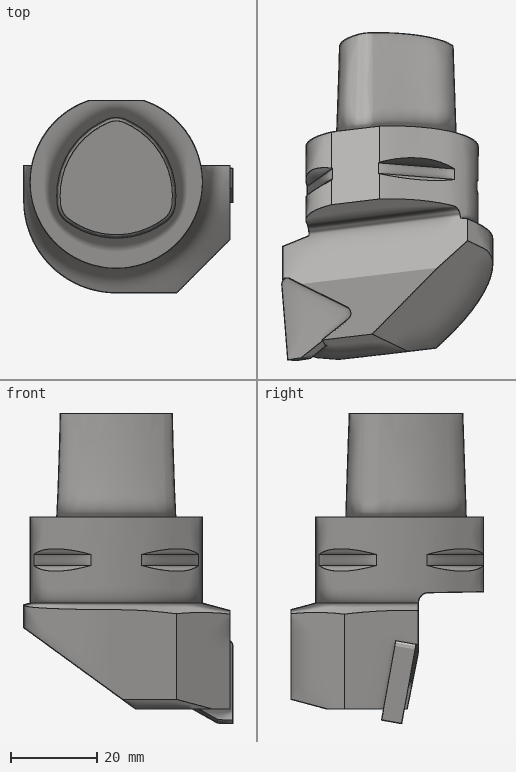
import cadquery as cq
import math


SHANK_LENGTH = 24.0
LOBE_REACH = 15.0
FLANK_REACH = 13.0
LOBE_RADIUS = 5.5
SHANK_SHRINK = 0.8

FLANGE_RADIUS = 20.0
FLANGE_HEIGHT = 20.0
FLANGE_FLAT_Y = 19.0
SLOT_Z = -10.0
SLOT_FLOOR_WIDTH = 2.5
SLOT_FLOOR_REACH = 17.65
SLOT_WALL_ANGLE = 30.0
SLOT_FIRST_ANGLE = 45.0
SLOT_COUNT = 4

HEAD_RADIUS = 21.5
HEAD_ARC_Y = -4.2
HEAD_RIGHT_X = 26.4
HEAD_CORNER_CUT = 12.4
HEAD_REAR_Y = 3.9
HEAD_BOTTOM_Z = -44.6
HEAD_FRONT_Y = HEAD_ARC_Y - HEAD_RADIUS
SHOULDER_ANGLE = 15.0
UNDERSIDE_START_Z = -25.7
UNDERSIDE_ANGLE = 36.0
FRONT_BEVEL_START_Y = -17.3
FRONT_BEVEL_ANGLE = 15.0

REAR_CEILING_Z = -17.4
REAR_CEILING_FALL_ANGLE = 1.0
REAR_FILLET = 2.3
REAR_SLOPE_START_Z = -31.4
REAR_SLOPE_ANGLE = 11.2

TIP_X = 27.06
TIP_Z = -48.0
INSERT_CIRCLE = 12.7
INSERT_THICKNESS = 4.76
INSERT_NOSE_RADIUS = 1.5
INSERT_TIP_FLAT = 3.55
INSERT_TIP_RELIEF = 2.0
INSERT_TILT = 10.2
POCKET_OPENING = 6.0

CLEARANCE = 10.0


def degree_tan(angle):
    return math.tan(math.radians(angle))


def polar(radius, angle):
    turn = math.radians(angle)
    return (radius * math.cos(turn), radius * math.sin(turn))


def lobed_outline(plane, inset):
    """Three lobe arcs joined tangentially by three flank arcs."""
    lobe_radius = LOBE_RADIUS - inset
    lobe_centre = LOBE_REACH - LOBE_RADIUS
    inner = FLANK_REACH - LOBE_RADIUS
    flank_centre = (lobe_centre**2 - inner**2) / (2 * inner - lobe_centre)
    joint_angle = math.atan2(
        lobe_centre * math.sin(math.radians(60)),
        lobe_centre * math.cos(math.radians(60)) + flank_centre,
    )
    half_lobe = 60 - math.degrees(joint_angle)

    def joint(lobe_angle, side):
        centre = polar(lobe_centre, lobe_angle)
        offset = polar(lobe_radius, lobe_angle + side * half_lobe)
        return (centre[0] + offset[0], centre[1] + offset[1])

    outline = cq.Workplane("XY", origin=(0, 0, plane)).moveTo(*joint(90, -1))
    for lobe_angle in (90, 210, 330):
        outline = outline.threePointArc(polar(LOBE_REACH - inset, lobe_angle), joint(lobe_angle, 1))
        outline = outline.threePointArc(
            polar(FLANK_REACH - inset, lobe_angle + 60), joint(lobe_angle + 120, -1)
        )
    return outline.wire().val()


def make_shank():
    base = lobed_outline(0, 0)
    end = lobed_outline(SHANK_LENGTH, SHANK_SHRINK)
    return cq.Workplane(cq.Solid.makeLoft([base, end], True))


def make_gripper_slot(angle):
    """Straight slot across the flange with a flat floor and flaring walls."""
    depth = FLANGE_RADIUS - SLOT_FLOOR_REACH + CLEARANCE
    floor_half = SLOT_FLOOR_WIDTH / 2
    mouth_half = floor_half + depth * degree_tan(SLOT_WALL_ANGLE)
    mouth_reach = SLOT_FLOOR_REACH + depth
    return (
        cq.Workplane("XZ")
        .polyline([
            (SLOT_FLOOR_REACH, SLOT_Z - floor_half),
            (mouth_reach, SLOT_Z - mouth_half),
            (mouth_reach, SLOT_Z + mouth_half),
            (SLOT_FLOOR_REACH, SLOT_Z + floor_half),
        ])
        .close()
        .extrude(FLANGE_RADIUS, both=True)
        .rotate((0, 0, 0), (0, 0, 1), angle)
    )


def make_flange():
    flange = cq.Workplane("XY").circle(FLANGE_RADIUS).extrude(-FLANGE_HEIGHT)
    flat = (
        cq.Workplane("XY")
        .box(2 * FLANGE_RADIUS, CLEARANCE, 2 * FLANGE_HEIGHT, centered=(True, False, True))
        .translate((0, FLANGE_FLAT_Y, -FLANGE_HEIGHT))
    )
    flange = flange.cut(flat)
    for index in range(SLOT_COUNT):
        flange = flange.cut(make_gripper_slot(SLOT_FIRST_ANGLE + index * 360 / SLOT_COUNT))
    return flange


def make_head():
    arc_middle = polar(HEAD_RADIUS, 225)
    blank = (
        cq.Workplane("XY", origin=(0, 0, HEAD_BOTTOM_Z))
        .moveTo(-HEAD_RADIUS, HEAD_REAR_Y)
        .lineTo(-HEAD_RADIUS, HEAD_ARC_Y)
        .threePointArc((arc_middle[0], arc_middle[1] + HEAD_ARC_Y), (0, HEAD_FRONT_Y))
        .lineTo(HEAD_RIGHT_X - HEAD_CORNER_CUT, HEAD_FRONT_Y)
        .lineTo(HEAD_RIGHT_X, HEAD_FRONT_Y + HEAD_CORNER_CUT)
        .lineTo(HEAD_RIGHT_X, HEAD_REAR_Y)
        .close()
        .extrude(-FLANGE_HEIGHT - HEAD_BOTTOM_Z)
    )
    envelope_radius = FLANGE_RADIUS + 2 * CLEARANCE
    envelope_drop = 2 * CLEARANCE * degree_tan(SHOULDER_ANGLE)
    envelope = (
        cq.Workplane("XZ")
        .polyline([
            (0, -FLANGE_HEIGHT),
            (FLANGE_RADIUS, -FLANGE_HEIGHT),
            (envelope_radius, -FLANGE_HEIGHT - envelope_drop),
            (envelope_radius, HEAD_BOTTOM_Z),
            (0, HEAD_BOTTOM_Z),
        ])
        .close()
        .revolve(360, (0, 0, 0), (0, 1, 0))
    )
    underside_drop = UNDERSIDE_START_Z - HEAD_BOTTOM_Z
    underside_cut = (
        cq.Workplane("XZ")
        .polyline([
            (-HEAD_RADIUS, UNDERSIDE_START_Z),
            (-HEAD_RADIUS, HEAD_BOTTOM_Z),
            (-HEAD_RADIUS + underside_drop / degree_tan(UNDERSIDE_ANGLE), HEAD_BOTTOM_Z),
        ])
        .close()
        .extrude(2 * FLANGE_RADIUS, both=True)
    )
    bevel_width = FRONT_BEVEL_START_Y - HEAD_FRONT_Y
    front_bevel = (
        cq.Workplane("YZ")
        .polyline([
            (FRONT_BEVEL_START_Y, HEAD_BOTTOM_Z),
            (HEAD_FRONT_Y, HEAD_BOTTOM_Z),
            (HEAD_FRONT_Y, HEAD_BOTTOM_Z + bevel_width * degree_tan(FRONT_BEVEL_ANGLE)),
        ])
        .close()
        .extrude(2 * FLANGE_RADIUS, both=True)
    )
    return blank.intersect(envelope).cut(underside_cut).cut(front_bevel)


def make_rear_space():
    """Clears the +Y side: a ceiling under the flange, an upright wall and a sloping wall."""
    outer_y = FLANGE_RADIUS + CLEARANCE
    floor_z = HEAD_BOTTOM_Z - CLEARANCE
    corner_z = REAR_CEILING_Z - (FLANGE_FLAT_Y - HEAD_REAR_Y) * degree_tan(REAR_CEILING_FALL_ANGLE)
    outer_z = corner_z + (outer_y - HEAD_REAR_Y) * degree_tan(REAR_CEILING_FALL_ANGLE)
    slope_end_y = HEAD_REAR_Y - (REAR_SLOPE_START_Z - floor_z) * degree_tan(REAR_SLOPE_ANGLE)
    return (
        cq.Workplane("YZ")
        .polyline([
            (outer_y, outer_z),
            (HEAD_REAR_Y, corner_z),
            (HEAD_REAR_Y, REAR_SLOPE_START_Z),
            (slope_end_y, floor_z),
            (outer_y, floor_z),
        ])
        .close()
        .extrude(2 * FLANGE_RADIUS, both=True)
        .edges("|X")
        .edges(cq.selectors.NearestToPointSelector((0, HEAD_REAR_Y, corner_z)))
        .fillet(REAR_FILLET)
    )


def insert_prism(rise):
    """Insert outline from its seat up to `rise` past the rake face, in its tilted place."""
    side = INSERT_CIRCLE * math.sqrt(3)
    flat_rise = INSERT_TIP_FLAT * degree_tan(INSERT_TIP_RELIEF)
    sharp_z = flat_rise - INSERT_TIP_FLAT * degree_tan(30)
    upper_corner = (0, sharp_z + side)
    left_corner = (-side * math.cos(math.radians(30)), sharp_z + side / 2)
    triangle = (
        cq.Workplane("XZ", origin=(0, rise, 0))
        .polyline([(0, 0), upper_corner, left_corner, (-INSERT_TIP_FLAT, flat_rise)])
        .close()
        .extrude(INSERT_THICKNESS + rise)
    )
    for corner_x, corner_z in (upper_corner, left_corner):
        corner_edge = cq.selectors.NearestToPointSelector((corner_x, 0, corner_z))
        triangle = triangle.edges("|Y").edges(corner_edge).fillet(INSERT_NOSE_RADIUS)
    return triangle.rotate((0, 0, 0), (1, 0, 0), -INSERT_TILT).translate((TIP_X, 0, TIP_Z))


def make_holder():
    body = make_flange().union(make_head()).cut(make_rear_space())
    return body.union(make_shank()).cut(insert_prism(POCKET_OPENING))


holder = make_holder()
cutting_insert = insert_prism(0)

result = cq.Compound.makeCompound([holder.val(), cutting_insert.val()])